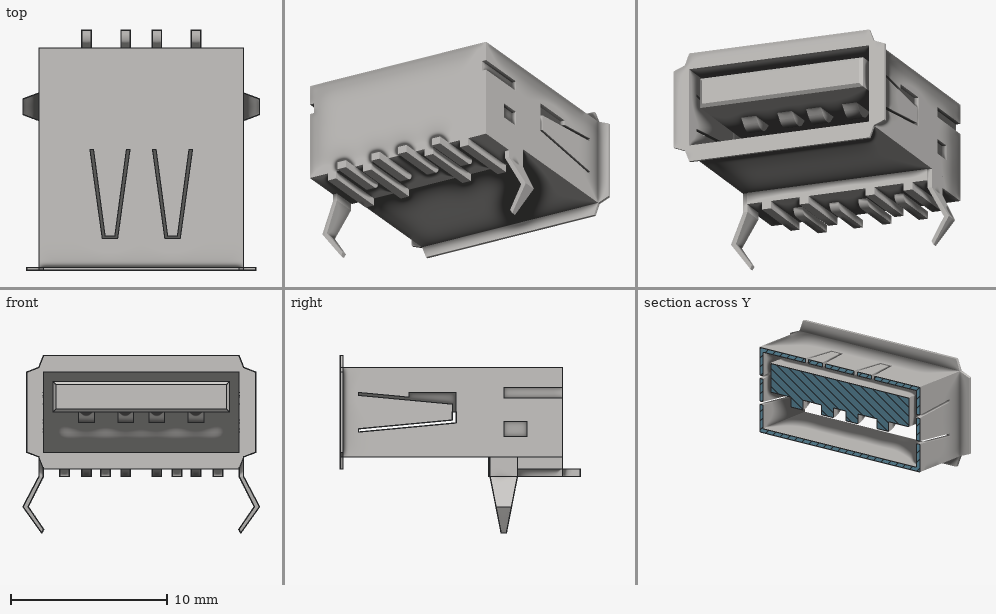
import cadquery as cq
import math


WALL = 0.3
SHELL_WIDTH = 13.1
SHELL_HEIGHT = 5.73
SHELL_BACK = 14.22
INNER_WIDTH = SHELL_WIDTH - 2 * WALL
SHELL_SIDE = SHELL_WIDTH / 2
INNER_SIDE = INNER_WIDTH / 2
MID_HEIGHT = SHELL_HEIGHT / 2

FLANGE_THICKNESS = 0.2
FLANGE_OVERHANG = 0.77

TOP_SPRING_SPACING = 4.0
TOP_SLOT_ROOT = 7.72
TOP_SLOT_TIP = 2.03
TOP_SLOT_HALF_ROOT = 1.28
TOP_SLOT_HALF_TIP = 0.49
TOP_SPRING_TIP = 2.2
TOP_SPRING_HALF_ROOT = 1.05
TOP_SPRING_HALF_TIP = 0.31

SIDE_SLOT_ROOT = 1.19
SIDE_SLOT_TIP = 7.41
SIDE_SLOT_HALF_ROOT = 1.26
SIDE_SLOT_HALF_TIP = 0.68
SIDE_SPRING_TIP = 7.17
SIDE_SPRING_HALF_ROOT = 1.07
SIDE_SPRING_HALF_TIP = 0.51
RELIEF_FRONT = 4.39

REAR_OPENING_FRONT = 10.47
REAR_NOTCH_BOTTOM = 3.76
REAR_NOTCH_TOP = 4.43
WINDOW_BACK = 11.95
WINDOW_BOTTOM = 1.3
WINDOW_TOP = 2.28

BLOCK_FRONT = 9.49
BASE_DEPTH = 0.76
STANDOFF_HEIGHT = 0.49
BOARD_LEVEL = -BASE_DEPTH - STANDOFF_HEIGHT
STANDOFF_WIDTH = 0.62
STANDOFF_CENTRES = (2.29, 4.91)
TONGUE_FRONT = 0.2
TONGUE_WIDTH = 11.3
TONGUE_BOTTOM = MID_HEIGHT
TONGUE_TOP = 4.83
TONGUE_CHAMFER = 0.2

CONTACT_CENTRES = (1.0, 3.5)
CONTACT_WIDTH = 1.0
CONTACT_Y = 4.3
CONTACT_DROP = 0.66
CONTACT_RADIUS = 1.0
TAIL_WIDTH = 0.62
TAIL_FRONT = 11.34
TAIL_END = 15.36

LATCH_FRONT = 9.58
LATCH_BACK = 11.34
LATCH_MID = (LATCH_FRONT + LATCH_BACK) / 2
LATCH_HALF_TOP = (LATCH_BACK - LATCH_FRONT) / 2
LATCH_HALF_TIP = 0.17
KNEE_Z = -3.18
KNEE_OUTER = 7.565
KNEE_INNER = 7.22
TIP_OUTER = (6.36, -4.87)
TIP_INNER = (6.23, -4.63)


def box(x_range, y_range, z_range):
    """Box between two limits along each axis."""
    sizes = [limits[1] - limits[0] for limits in (x_range, y_range, z_range)]
    start = (x_range[0], y_range[0], z_range[0])
    return cq.Workplane("XY").box(*sizes, centered=False).translate(start)


def centred_box(x, width, y_range, z_range):
    """Box of a given width centred on x."""
    return box((x - width / 2, x + width / 2), y_range, z_range)


def both_sides(centres):
    """Each centre and its mirror image across X = 0."""
    return [sign * centre for sign in (-1, 1) for centre in centres]


def taper(plane, start, end, half_start, half_end, thickness):
    """Symmetric tapered plate whose axis lies along the local x of the plane."""
    outline = [(start, -half_start), (end, -half_end), (end, half_end), (start, half_start)]
    return cq.Workplane(plane).polyline(outline).close().extrude(thickness)


def flange():
    """Plate with notched corners, still without its opening."""
    top = SHELL_HEIGHT + FLANGE_OVERHANG
    side = SHELL_SIDE + FLANGE_OVERHANG
    corner = [
        (INNER_SIDE, top),
        (SHELL_SIDE, SHELL_HEIGHT),
        (side, SHELL_HEIGHT - WALL),
    ]
    upper_left = [(-x, z) for x, z in reversed(corner)]
    lower_right = [(x, SHELL_HEIGHT - z) for x, z in reversed(corner)]
    lower_left = [(-x, z) for x, z in reversed(lower_right)]
    outline = corner + lower_right + lower_left + upper_left
    return cq.Workplane("XZ").polyline(outline).close().extrude(-FLANGE_THICKNESS)


def top_spring_slot(x):
    """Slot that frees one spring of the top wall."""
    plane = cq.Plane(origin=(x, 0, SHELL_HEIGHT), xDir=(0, 1, 0), normal=(0, 0, -1))
    opening = taper(plane, TOP_SLOT_ROOT, TOP_SLOT_TIP, TOP_SLOT_HALF_ROOT, TOP_SLOT_HALF_TIP, WALL)
    spring = taper(
        plane, TOP_SLOT_ROOT, TOP_SPRING_TIP, TOP_SPRING_HALF_ROOT, TOP_SPRING_HALF_TIP, WALL
    )
    return opening.cut(spring)


def side_spring_slots():
    """Slots that free the springs of both side walls, cut straight through the shell."""
    plane = cq.Plane(origin=(-SHELL_SIDE, 0, MID_HEIGHT), xDir=(0, 1, 0), normal=(1, 0, 0))
    opening = taper(
        plane, SIDE_SLOT_ROOT, SIDE_SLOT_TIP, SIDE_SLOT_HALF_ROOT, SIDE_SLOT_HALF_TIP, SHELL_WIDTH
    )
    relief = box(
        (-SHELL_SIDE, SHELL_SIDE),
        (RELIEF_FRONT, SIDE_SLOT_TIP),
        (MID_HEIGHT, MID_HEIGHT + SIDE_SLOT_HALF_ROOT),
    )
    spring = taper(
        plane, SIDE_SLOT_ROOT, SIDE_SPRING_TIP, SIDE_SPRING_HALF_ROOT, SIDE_SPRING_HALF_TIP, SHELL_WIDTH
    )
    return opening.union(relief).cut(spring)


def make_shell():
    """Sheet metal shell with flange, springs and rear openings."""
    full_width = (-SHELL_SIDE, SHELL_SIDE)
    inner = (-INNER_SIDE, INNER_SIDE)
    shell = box(full_width, (0, SHELL_BACK), (0, SHELL_HEIGHT)).union(flange())
    shell = shell.cut(box(inner, (0, SHELL_BACK), (WALL, SHELL_HEIGHT - WALL)))
    shell = shell.cut(box(inner, (BLOCK_FRONT, SHELL_BACK), (0, WALL)))
    for x in both_sides([TOP_SPRING_SPACING / 2]):
        shell = shell.cut(top_spring_slot(x))
    shell = shell.cut(side_spring_slots())
    rear_notches = box(full_width, (REAR_OPENING_FRONT, SHELL_BACK), (REAR_NOTCH_BOTTOM, REAR_NOTCH_TOP))
    windows = box(full_width, (REAR_OPENING_FRONT, WINDOW_BACK), (WINDOW_BOTTOM, WINDOW_TOP))
    return shell.cut(rear_notches).cut(windows)


def tongue():
    """Tongue that carries the contacts, chamfered round its front face."""
    body = centred_box(0, TONGUE_WIDTH, (TONGUE_FRONT, BLOCK_FRONT), (TONGUE_BOTTOM, TONGUE_TOP))
    return body.faces("<Y").chamfer(TONGUE_CHAMFER)


def contact_bump(x):
    """Contact bulge under the tongue: 45 degree flanks joined by a rounded crest."""
    crest_z = TONGUE_BOTTOM - CONTACT_DROP
    arc_half = CONTACT_RADIUS * math.sin(math.pi / 4)
    tangent_z = crest_z + CONTACT_RADIUS - arc_half
    half_length = arc_half + TONGUE_BOTTOM - tangent_z
    return (
        cq.Workplane("YZ", origin=(x - CONTACT_WIDTH / 2, 0, 0))
        .moveTo(CONTACT_Y - half_length, TONGUE_BOTTOM)
        .lineTo(CONTACT_Y - arc_half, tangent_z)
        .threePointArc((CONTACT_Y, crest_z), (CONTACT_Y + arc_half, tangent_z))
        .lineTo(CONTACT_Y + half_length, TONGUE_BOTTOM)
        .close()
        .extrude(CONTACT_WIDTH)
    )


def contact_tail(x):
    """Solder tail along the underside, its front end rounded by the bend."""
    return (
        cq.Workplane("YZ", origin=(x - TAIL_WIDTH / 2, 0, 0))
        .moveTo(TAIL_FRONT, -BASE_DEPTH)
        .radiusArc((TAIL_FRONT + STANDOFF_HEIGHT, BOARD_LEVEL), -STANDOFF_HEIGHT)
        .lineTo(TAIL_END, BOARD_LEVEL)
        .lineTo(TAIL_END, -BASE_DEPTH)
        .close()
        .extrude(TAIL_WIDTH)
    )


def make_insulator():
    """Insulator block, base and tongue, with the contacts moulded in."""
    depth = (BLOCK_FRONT, SHELL_BACK)
    insulator = centred_box(0, INNER_WIDTH, depth, (-BASE_DEPTH, SHELL_HEIGHT - WALL))
    insulator = insulator.union(centred_box(0, SHELL_WIDTH, (LATCH_BACK, SHELL_BACK), (-BASE_DEPTH, 0)))
    insulator = insulator.union(tongue())
    for x in both_sides(STANDOFF_CENTRES):
        insulator = insulator.union(centred_box(x, STANDOFF_WIDTH, depth, (BOARD_LEVEL, -BASE_DEPTH)))
    for x in both_sides(CONTACT_CENTRES):
        insulator = insulator.union(contact_bump(x)).union(contact_tail(x))
    return insulator


def make_latch():
    """Bent board latch under the right side wall, tapering toward its tip."""
    strip = [
        (SHELL_SIDE, 0),
        (SHELL_SIDE, BOARD_LEVEL),
        (KNEE_OUTER, KNEE_Z),
        TIP_OUTER,
        TIP_INNER,
        (KNEE_INNER, KNEE_Z),
        (INNER_SIDE, BOARD_LEVEL),
        (INNER_SIDE, 0),
    ]
    bent = cq.Workplane("XZ", origin=(0, LATCH_FRONT, 0)).polyline(strip).close()
    bent = bent.extrude(LATCH_FRONT - LATCH_BACK)
    tip_z = TIP_OUTER[1]
    width_outline = [
        (LATCH_MID - LATCH_HALF_TOP, 0),
        (LATCH_MID - LATCH_HALF_TOP, BOARD_LEVEL),
        (LATCH_MID - LATCH_HALF_TIP, tip_z),
        (LATCH_MID + LATCH_HALF_TIP, tip_z),
        (LATCH_MID + LATCH_HALF_TOP, BOARD_LEVEL),
        (LATCH_MID + LATCH_HALF_TOP, 0),
    ]
    tapered = cq.Workplane("YZ").polyline(width_outline).close().extrude(KNEE_OUTER)
    return bent.intersect(tapered)


shell = make_shell()
insulator = make_insulator()
right_latch = make_latch()
latches = [right_latch, right_latch.mirror("YZ")]
result = cq.Compound.makeCompound([shell.val(), insulator.val(), *[latch.val() for latch in latches]])